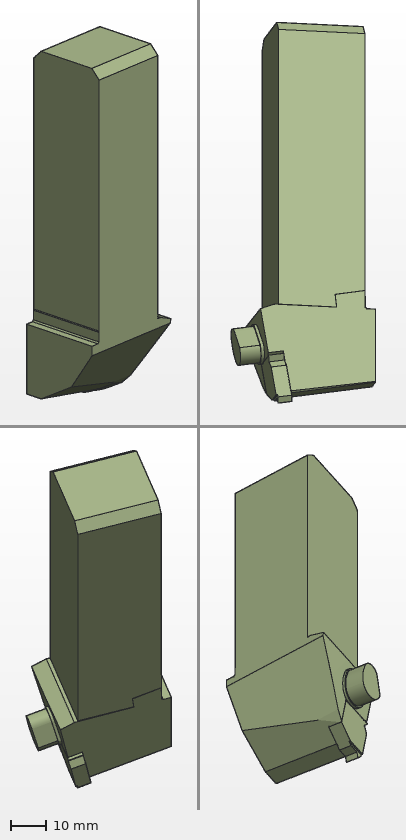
import cadquery as cq
import math

shank_side = 25.1
shank_top = 113
shank_bottom = 29.1
shank_chamfer = 2.8

tilt = 10
tip_y = 25.2

head_front = -3.0
head_side_step = 0.3
tongue_depth = 8.7
tongue_top_front = 34.5
tongue_top_back = 32.9
tongue_root = 8.2
neck_step = 0.1
neck_top = 32.5
neck_bevel = 0.3
shoulder_chamfer = 0.5
collar_reach = 1.1
head_rear_drop = 1.7
head_rear_y = 30.6

rear_out = 0.8
rear_slant = 0.5
head_base_up = 2.6
base_edge = 0.6
base_width = 5.5
bevel_angle = 30

diagonal_top = (shank_side, 26.2)
diagonal_mid = (17.1, 14.2)
corner_top = (13.5, 8.6)
corner_foot = (10.5, 5.5)

seat_out = -4.1
pocket_top = 15.5
pocket_lip_x = 1.0
pocket_end_x = 10.2
insert_side = -1.1
insert_rear = 0.5
insert_wing = 1.6
insert_flat_end = 3.8
insert_notch_start = 10.5
insert_notch_root = 12.4
insert_notch_x = 0.5
insert_tip_reach = 0.9
screw_embed = 0.2
insert_upper_tip = 14.1
insert_upper_tip_x = -0.7
rake_recess = 0.5
rake_height = 2.3

screw_end = 7.3
screw_flat_low = (4.0, 18.4)
screw_flat_high = (6.8, 23.8)
screw_top = (9.9, 25.3)
screw_right_high = (12.7, 22.0)
screw_right = (12.8, 19.2)
screw_right_low = (11.9, 16.5)
screw_bottom = (7.3, 14.5)
screw_flange_end = 1.4
screw_flange_rim = 0.5

far = 67.8
bevel_rise = math.tan(math.radians(bevel_angle))

tilt_normal = (0, -math.cos(math.radians(tilt)), math.sin(math.radians(tilt)))
seat_plane = cq.Plane(origin=(0, tip_y, 0), xDir=(1, 0, 0), normal=tilt_normal)


def tilted_prism(points, inner, outer):
    """Prism of an (X, up) outline between two distances along the seat normal."""
    return (cq.Workplane(seat_plane).workplane(offset=-outer)
            .polyline(points).close().extrude(outer - inner))


def tilted_point(out, up):
    """Global (Y, Z) of a point given in tilted coordinates."""
    angle = math.radians(tilt)
    y = tip_y + out * math.cos(angle) + up * math.sin(angle)
    z = up * math.cos(angle) - out * math.sin(angle)
    return (y, z)


def make_shank():
    block = cq.Workplane("XY").workplane(offset=shank_bottom).rect(
        shank_side, shank_side).extrude(shank_top - shank_bottom)
    block = block.translate((shank_side / 2, shank_side / 2, 0))
    return block.faces(">Z").edges("|Y").chamfer(shank_chamfer)


def head_block():
    base_y, base_z = tilted_point(rear_out, head_base_up)
    front_z = base_z + (base_y - head_front) * math.tan(math.radians(tilt))
    profile = [
        (head_front, shank_bottom),
        (head_front, front_z),
        (base_y, base_z),
        (head_rear_y, shank_bottom - head_rear_drop),
        (shank_side + collar_reach, shank_bottom),
        (tongue_root, shank_bottom),
        (tongue_depth, tongue_top_back),
        (0, tongue_top_front),
        (0, neck_top + neck_bevel),
        (-neck_step, neck_top),
        (-neck_step, shank_bottom + shoulder_chamfer),
        (-neck_step - shoulder_chamfer, shank_bottom),
    ]
    return (cq.Workplane("YZ").workplane(offset=-head_side_step)
            .polyline(profile).close().extrude(shank_side + head_side_step))


def side_taper():
    """Wedge that brings the head's -X face back to the shank at the front."""
    return (cq.Workplane("XY")
            .polyline([(-head_side_step, head_front), (0, head_front), (-head_side_step, head_rear_y)])
            .close().extrude(far))


def sloping_cut(top, lower):
    """Cut along Y below the line through two (X, Z) points, from the top point down to Z = 0."""
    slope = (top[1] - lower[1]) / (top[0] - lower[0])
    foot_x = top[0] - top[1] / slope
    return (cq.Workplane("XZ")
            .polyline([top, (far, top[1]), (far, 0), (foot_x, 0)])
            .close().extrude(far, both=True))


def base_bevel():
    """Cut along the seat normal that raises the base towards +X."""
    end_up = head_base_up + (far - base_width) * bevel_rise
    return tilted_prism([(base_width, head_base_up), (far, end_up), (far, -far), (base_width, -far)],
                        -far, far)


def base_edge_chamfer():
    """Chamfer along the seat normal where the base meets the -X face."""
    edge_top = head_base_up + base_edge
    return tilted_prism([(-head_side_step, edge_top), (base_edge - head_side_step, head_base_up),
                         (-head_side_step, head_base_up)], -far, far)


def rear_wedge():
    """Slant of the rear face, lowest at the -X side."""
    outline = [(-head_side_step, rear_out - rear_slant), (shank_side, rear_out),
               (shank_side, far), (-head_side_step, far)]
    plane = cq.Plane(origin=(0, tip_y, 0), xDir=(1, 0, 0),
                     normal=(0, math.sin(math.radians(tilt)), math.cos(math.radians(tilt))))
    return cq.Workplane(plane).polyline(outline).close().extrude(far, both=True)


def insert_pocket():
    return tilted_prism([(insert_side, -far), (pocket_end_x, -far),
                         (pocket_end_x, insert_upper_tip),
                         (pocket_lip_x, insert_upper_tip), (insert_side, pocket_top)], seat_out, far)


def screw_outline(out):
    """Rounded screw head with one slanting flat, drawn at a distance along the seat normal."""
    return (cq.Workplane(seat_plane).workplane(offset=-out)
            .moveTo(*screw_flat_low).lineTo(*screw_flat_high)
            .threePointArc(screw_top, screw_right_high)
            .threePointArc(screw_right, screw_right_low)
            .threePointArc(screw_bottom, screw_flat_low).close())


def make_screw():
    root = rear_out - rear_slant - screw_embed
    shaft = screw_outline(root).extrude(root - screw_end)
    flange = screw_outline(root).offset2D(screw_flange_rim).extrude(root - screw_flange_end)
    return shaft.union(flange)


def make_holder():
    head = head_block()
    cutters = [
        side_taper(),
        sloping_cut(diagonal_top, diagonal_mid),
        sloping_cut(corner_top, corner_foot),
        base_bevel(),
        base_edge_chamfer(),
        rear_wedge(),
        insert_pocket(),
    ]
    for cutter in cutters:
        head = head.cut(cutter)
    return make_shank().union(head).union(make_screw())


def make_insert():
    bevel_end_up = insert_wing + (pocket_end_x - insert_flat_end) * bevel_rise
    outline = [
        (0, 0),
        (insert_tip_reach, insert_wing),
        (insert_flat_end, insert_wing),
        (pocket_end_x, bevel_end_up),
        (pocket_end_x, insert_upper_tip),
        (insert_upper_tip_x, insert_upper_tip),
        (insert_notch_x, insert_notch_root),
        (insert_side, insert_notch_start),
        (insert_side, insert_wing),
    ]
    rake = tilted_prism([(insert_side, 0), (pocket_end_x, 0),
                         (pocket_end_x, rake_height), (insert_side, rake_height)],
                        insert_rear - rake_recess, far)
    return tilted_prism(outline, seat_out, insert_rear).cut(rake)


insert = make_insert()
holder = make_holder().cut(insert)
result = cq.Compound.makeCompound([holder.val(), insert.val()])